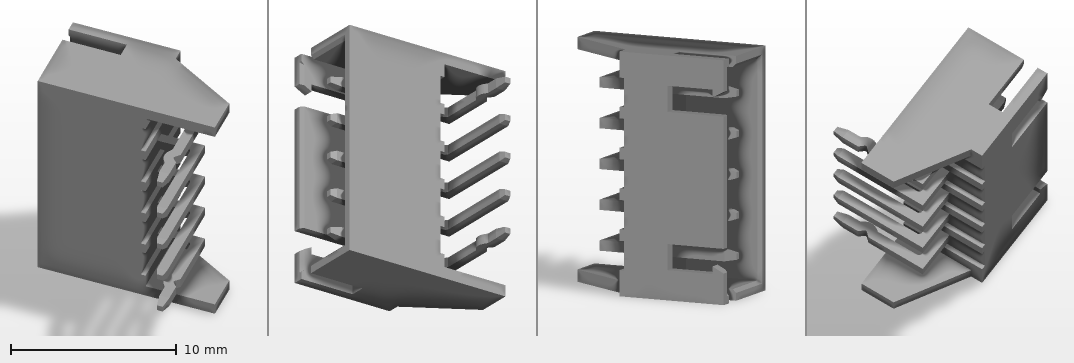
import cadquery as cq
import math


pin_count = 5
pin_pitch = 2.5
end_margin = 2.5
pin_size = 0.64
half_pin = pin_size / 2
pin_y = 2.86
contact_tip_x = 0.47
solder_leg_x = 9.27
solder_tip_y = -3.4
elbow_chamfer = 0.14
tip_size = 0.38
short_taper = 0.4
long_taper = 0.75

kink_y = -1.16
kink_height = 0.27
kink_radius = 0.78
kink_angle = math.radians(33.5)
notch_depth = 0.30
notch_half_width = 0.38
notch_radius = 0.13

housing_length = 2 * end_margin + (pin_count - 1) * pin_pitch
housing_height = 5.75
block_depth = 7.0
cheek_depth = 11.5
cheek_thickness = 0.75
cheek_slope_top = 4.95
cheek_slope_angle = math.radians(30)
wall = 0.7
cavity_depth = 5.0
lead_in = 0.22

side_slot_length = 3.78
side_slot_width = 1.0
key_slot_length = side_slot_length
key_slot_outer = 1.85
key_slot_inner = 3.45
hook_length = 0.75
hook_root = 1.935
hook_tip = 2.32
relief_depth = 0.3
relief_width = 1.8

pin_levels = [end_margin + i * pin_pitch for i in range(pin_count)]


def box(x0, x1, y0, y1, z0, z1):
    """Solid block between two opposite corners."""
    return cq.Workplane("XY").box(x1 - x0, y1 - y0, z1 - z0, centered=False).translate((x0, y0, z0))


def make_shell():
    """Block with two sloped end plates that extend behind it."""
    slope_drop = (cheek_depth - block_depth) * math.tan(cheek_slope_angle)
    outline = [
        (0, 0),
        (cheek_depth, 0),
        (cheek_depth, cheek_slope_top - slope_drop),
        (block_depth, cheek_slope_top),
        (block_depth, housing_height),
        (0, housing_height),
    ]
    body = cq.Workplane("XY").polyline(outline).close().extrude(housing_length)
    rear_gap = box(
        block_depth, cheek_depth,
        0, housing_height,
        cheek_thickness, housing_length - cheek_thickness,
    )
    return body.cut(rear_gap)


def make_cavity():
    """Mating cavity with a chamfered mouth."""
    cavity = box(0, cavity_depth, wall, housing_height - wall, wall, housing_length - wall)
    mouth = (
        cq.Workplane("YZ")
        .center(housing_height / 2, housing_length / 2)
        .rect(housing_height - 2 * (wall - lead_in), housing_length - 2 * (wall - lead_in))
        .workplane(offset=lead_in)
        .rect(housing_height - 2 * wall, housing_length - 2 * wall)
        .loft(ruled=True)
    )
    return cavity.union(mouth)


def make_side_slots():
    """Slots through both shroud ends, just under the top wall."""
    slot_top = housing_height - wall
    return box(0, side_slot_length, slot_top - side_slot_width, slot_top, 0, housing_length)


def make_key_slot():
    """Lower slot in the top wall; its outer edge carries a small hook at the mouth."""
    outline = [
        (0, hook_root),
        (hook_length, hook_tip),
        (hook_length, key_slot_outer),
        (key_slot_length, key_slot_outer),
        (key_slot_length, key_slot_inner),
        (0, key_slot_inner),
    ]
    return (
        cq.Workplane("XZ", origin=(0, housing_height - wall, 0))
        .polyline(outline)
        .close()
        .extrude(-wall)
    )


def make_housing():
    body = make_shell().cut(make_cavity()).cut(make_side_slots())
    key_slot = make_key_slot()
    mid_plane = (0, 0, housing_length / 2)
    body = body.cut(key_slot).cut(key_slot.mirror("XY", mid_plane))
    for z in pin_levels:
        relief = box(
            block_depth - relief_depth, block_depth,
            0, housing_height,
            z - relief_width / 2, z + relief_width / 2,
        )
        pin_hole = box(
            cavity_depth, block_depth,
            pin_y - half_pin, pin_y + half_pin,
            z - half_pin, z + half_pin,
        )
        body = body.cut(relief).cut(pin_hole)
    return body


def tapered_tip(plane, length):
    """Four-sided taper from the full pin section down to the tip section."""
    return (
        cq.Workplane(plane)
        .rect(pin_size, pin_size)
        .workplane(offset=length)
        .rect(tip_size, tip_size)
        .loft(ruled=True)
    )


def make_kink_bulge(z):
    """Rounded bulge with straight flanks on the -X side of a solder leg."""
    leg_face = solder_leg_x - half_pin
    apex_x = leg_face - kink_height
    arc_half = kink_radius * math.sin(kink_angle)
    arc_end_x = apex_x + kink_radius * (1 - math.cos(kink_angle))
    flank_half = arc_half + (leg_face - arc_end_x) / math.tan(kink_angle)
    return (
        cq.Workplane("XY", origin=(0, kink_y, z - half_pin))
        .moveTo(leg_face, flank_half)
        .lineTo(arc_end_x, arc_half)
        .threePointArc((apex_x, 0), (arc_end_x, -arc_half))
        .lineTo(leg_face, -flank_half)
        .close()
        .extrude(pin_size)
    )


def make_kink_notch(z):
    """V notch with a rounded root on the +X side of a solder leg."""
    leg_face = solder_leg_x + half_pin
    root_x = leg_face - notch_depth
    reach = notch_depth - notch_radius
    corner_distance = math.hypot(reach, notch_half_width)
    flank_angle = math.atan2(reach, notch_half_width) + math.asin(notch_radius / corner_distance)
    arc_half = notch_radius * math.sin(flank_angle)
    arc_end_x = root_x + notch_radius * (1 - math.cos(flank_angle))
    return (
        cq.Workplane("XY", origin=(0, kink_y, z - half_pin))
        .moveTo(leg_face, notch_half_width)
        .lineTo(arc_end_x, arc_half)
        .threePointArc((root_x, 0), (arc_end_x, -arc_half))
        .lineTo(leg_face, -notch_half_width)
        .close()
        .extrude(pin_size)
    )


def make_pin(z, kinked):
    """L-shaped square pin; the end pins have long tips and a kinked solder leg."""
    taper = long_taper if kinked else short_taper
    contact_start = contact_tip_x + taper
    solder_end = solder_tip_y + taper
    inner_x = solder_leg_x - half_pin
    outer_x = solder_leg_x + half_pin
    bottom_y = pin_y - half_pin
    top_y = pin_y + half_pin
    outline = [
        (contact_start, bottom_y),
        (inner_x - elbow_chamfer, bottom_y),
        (inner_x, bottom_y - elbow_chamfer),
        (inner_x, solder_end),
        (outer_x, solder_end),
        (outer_x, top_y),
        (contact_start, top_y),
    ]
    pin = (
        cq.Workplane("XY", origin=(0, 0, z - half_pin))
        .polyline(outline)
        .close()
        .extrude(pin_size)
    )
    contact_end = cq.Plane(origin=(contact_start, pin_y, z), xDir=(0, 1, 0), normal=(-1, 0, 0))
    solder_leg_end = cq.Plane(origin=(solder_leg_x, solder_end, z), xDir=(1, 0, 0), normal=(0, -1, 0))
    pin = pin.union(tapered_tip(contact_end, taper)).union(tapered_tip(solder_leg_end, taper))
    if kinked:
        pin = pin.union(make_kink_bulge(z)).cut(make_kink_notch(z))
    return pin


housing = make_housing()

pins = []
for z in pin_levels:
    is_end_pin = z in (pin_levels[0], pin_levels[-1])
    pins.append(make_pin(z, kinked=is_end_pin))

result = cq.Compound.makeCompound([housing.val(), *[pin.val() for pin in pins]])